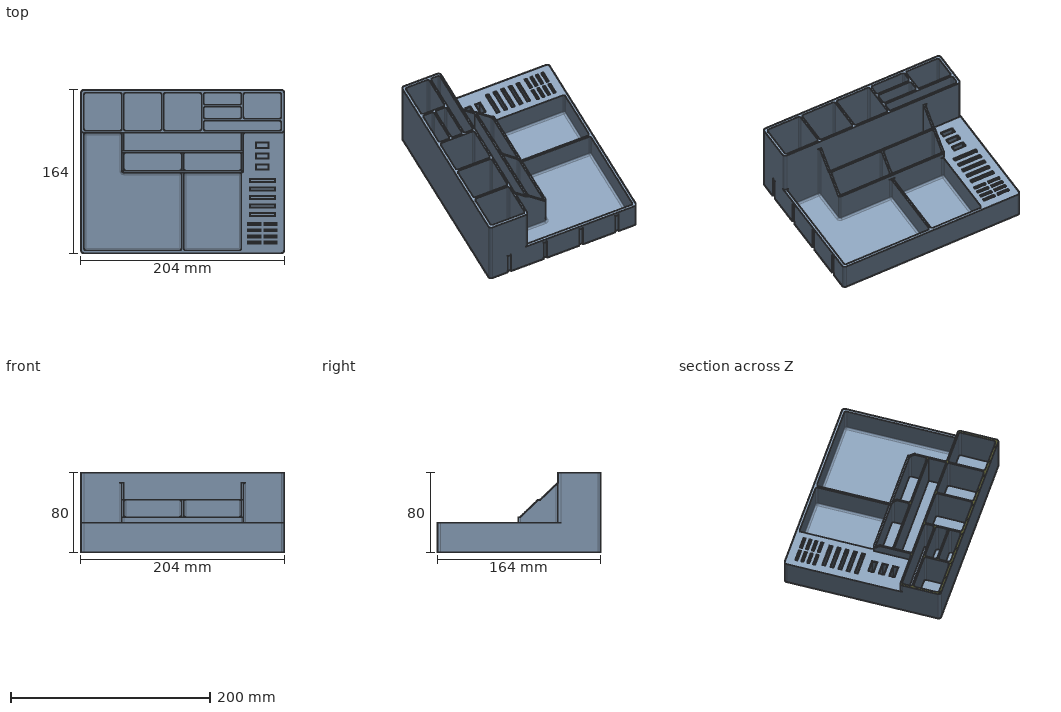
import cadquery as cq


length = 204.0
depth = 164.0
base_height = 30.0
tower_height = 80.0
outer_wall = 3.0
inner_wall = 2.0
outer_radius = 3.0
inner_radius = 2.0
floor = 3.0

cup_columns = 5
plain_cup_count = 3
pen_slot_count = 2
cup_size = 38.0
cup_pitch = cup_size + inner_wall
pen_slot_width = 12.0
ruler_slot_width = cup_size - pen_slot_count * (pen_slot_width + inner_wall)
cup_front = depth - outer_wall - cup_size
cup_back = depth - outer_wall
tower_front = cup_front - inner_wall

holder_columns = 3
pocket_depth = 18.0
holder_left = outer_wall + cup_size
holder_right = holder_left + holder_columns * cup_pitch + inner_wall
divider_back = tower_front - pocket_depth
divider_front = divider_back - inner_wall
front_wall_back = divider_front - pocket_depth
holder_front = front_wall_back - inner_wall
holder_back_height = 70.0
divider_height = 52.75
holder_front_height = 35.5

tray_wall_center = (holder_left + holder_right) / 2
right_tray_end = holder_right - inner_wall

slot_center_x = (holder_right + length - outer_wall) / 2
slot_depth = 15.0
slot_chamfer = 0.5
usb_length = 12.3
usb_width = 4.8
usb_count = 3
usb_first_y = 86.5
usb_pitch = 11.0
sd_length = 24.7
sd_width = 2.4
sd_count = 5
sd_first_y = 38.9
sd_pitch = 8.5
micro_length = 11.6
micro_width = 1.4
micro_rows = 4
micro_first_y = 10.7
micro_row_pitch = 6.2
micro_column_pitch = 16.2

groove_count = 4
groove_width = 4.0
groove_height = 25.5
groove_depth = 1.5
groove_pitch = 40.0
first_groove_y = (depth - (groove_count - 1) * groove_pitch) / 2


def block(x0, x1, y0, y1, z0, z1):
    """Plain box between the given limits."""
    return cq.Workplane("XY").box(x1 - x0, y1 - y0, z1 - z0, centered=False).translate((x0, y0, z0))


def rounded_block(x0, x1, y0, y1, z0, z1, radius):
    """Box with rounded vertical edges."""
    return block(x0, x1, y0, y1, z0, z1).edges("|Z").fillet(radius)


def pocket(x0, x1, y0, y1, top):
    """Cutter for a compartment with rounded corners, from the floor up to top."""
    return rounded_block(x0, x1, y0, y1, floor, top, inner_radius)


def make_left_tray():
    """Cutter for the L-shaped tray that wraps around the left end of the holder."""
    outline = [
        (outer_wall, outer_wall),
        (tray_wall_center - inner_wall / 2, outer_wall),
        (tray_wall_center - inner_wall / 2, holder_front),
        (holder_left, holder_front),
        (holder_left, tower_front),
        (outer_wall, tower_front),
    ]
    tray = cq.Workplane("XY").workplane(offset=floor).polyline(outline).close()
    tray = tray.extrude(base_height - floor)
    return tray.edges("|Z").fillet(inner_radius).faces("<Z").edges().fillet(inner_radius)


def make_right_tray():
    """Cutter for the rectangular tray in front of the right half of the holder."""
    tray_left = tray_wall_center + inner_wall / 2
    tray = pocket(tray_left, right_tray_end, outer_wall, holder_front, base_height)
    return tray.faces("<Z").edges().fillet(inner_radius)


def make_tower():
    """Tall rear block above the base, without its cups."""
    return rounded_block(0, length, tower_front, depth, base_height, tower_height, outer_radius)


def make_holder():
    """Solid holder with rounded front corners, blended into a strip of the tower front."""
    strip_back = tower_front + inner_wall
    holder = block(holder_left, holder_right, holder_front, strip_back, base_height, holder_back_height)
    holder = holder.edges("|Z and <Y").fillet(inner_radius)
    strip = block(
        holder_left - 2 * inner_radius,
        holder_right + 2 * inner_radius,
        tower_front,
        strip_back,
        base_height,
        holder_back_height,
    )
    holder = holder.union(strip)
    for x in (holder_left, holder_right):
        corner = cq.selectors.NearestToPointSelector((x, tower_front, (base_height + holder_back_height) / 2))
        holder = holder.edges("|Z").edges(corner).fillet(inner_radius)
    profile = [
        (holder_front, base_height),
        (holder_front, holder_front_height),
        (front_wall_back, holder_front_height),
        (divider_front, divider_height),
        (divider_back, divider_height),
        (tower_front, holder_back_height),
        (strip_back, holder_back_height),
        (strip_back, base_height),
    ]
    envelope = cq.Workplane("YZ").polyline(profile).close().extrude(length)
    return holder.intersect(envelope)


def cut_cups(body):
    """Cups, pen slots and ruler slot of the tower."""
    cup_lefts = [outer_wall + i * cup_pitch for i in range(cup_columns)]
    for x in cup_lefts[:plain_cup_count]:
        body = body.cut(pocket(x, x + cup_size, cup_front, cup_back, tower_height))
    pen_left, last_left = cup_lefts[plain_cup_count:]
    last_right = last_left + cup_size
    ruler_back = cup_front + ruler_slot_width
    body = body.cut(pocket(pen_left, last_right, cup_front, ruler_back, tower_height))
    short_cup_front = ruler_back + inner_wall
    body = body.cut(pocket(last_left, last_right, short_cup_front, cup_back, tower_height))
    for i in range(pen_slot_count):
        y = short_cup_front + i * (pen_slot_width + inner_wall)
        body = body.cut(pocket(pen_left, pen_left + cup_size, y, y + pen_slot_width, tower_height))
    return body


def cut_holder_pockets(body):
    """One wide square-cornered rear pocket and two rounded front pockets."""
    left = holder_left + inner_wall
    right = holder_right - inner_wall
    middle_left = tray_wall_center - inner_wall / 2
    middle_right = tray_wall_center + inner_wall / 2
    top = holder_back_height
    body = body.cut(block(left, right, divider_back, tower_front, floor, top))
    for x0, x1 in ((left, middle_left), (middle_right, right)):
        body = body.cut(pocket(x0, x1, front_wall_back, divider_front, top))
    return body


def cut_slot(body, x, y, slot_length, slot_width):
    """Upright card slot with a chamfered mouth, centered at x, y."""
    well = cq.Workplane("XY").box(slot_length, slot_width, slot_depth)
    well = well.translate((x, y, base_height - slot_depth / 2))
    mouth = (
        cq.Workplane("XY", origin=(x, y, base_height))
        .rect(slot_length + 2 * slot_chamfer, slot_width + 2 * slot_chamfer)
        .workplane(offset=-slot_chamfer)
        .rect(slot_length, slot_width)
        .loft()
    )
    return body.cut(well).cut(mouth)


def cut_card_slots(body):
    """USB, SD and microSD slots from back to front."""
    for i in range(usb_count):
        body = cut_slot(body, slot_center_x, usb_first_y + i * usb_pitch, usb_length, usb_width)
    for i in range(sd_count):
        body = cut_slot(body, slot_center_x, sd_first_y + i * sd_pitch, sd_length, sd_width)
    for i in range(micro_rows):
        y = micro_first_y + i * micro_row_pitch
        for side in (-1, 1):
            x = slot_center_x + side * micro_column_pitch / 2
            body = cut_slot(body, x, y, micro_length, micro_width)
    return body


def cut_side_grooves(body):
    """Shallow upright grooves in the left wall, open at the bottom."""
    for i in range(groove_count):
        y = first_groove_y + i * groove_pitch
        groove = block(0, groove_depth, y - groove_width / 2, y + groove_width / 2, 0, groove_height)
        body = body.cut(groove)
    return body


body = rounded_block(0, length, 0, depth, 0, base_height, outer_radius)
body = body.cut(make_left_tray()).cut(make_right_tray())
body = body.union(make_tower()).union(make_holder())
body = cut_cups(body)
body = cut_holder_pockets(body)
body = cut_card_slots(body)
result = cut_side_grooves(body)